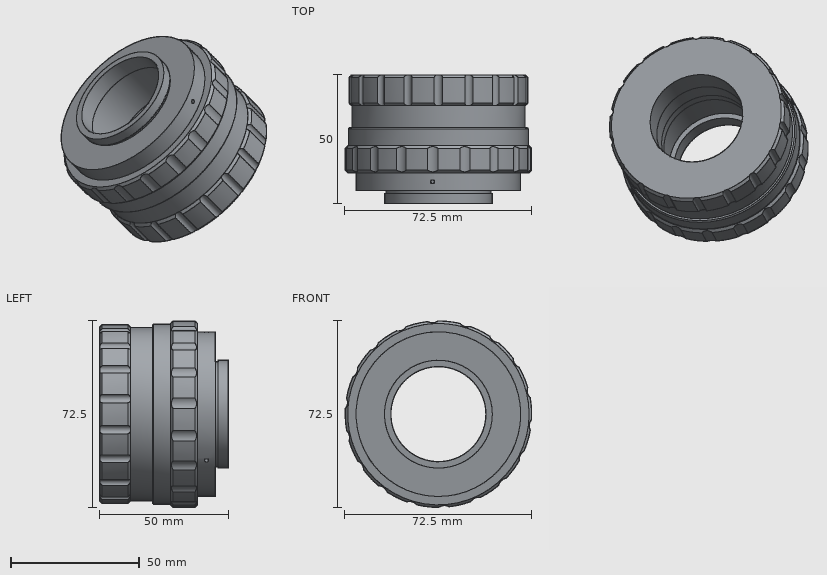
import cadquery as cq
import math


front_y = 0.0
collar_back_y = 4.0
nose_front_y = 5.0
front_grip_front_y = 11.95
front_grip_back_y = 22.5
flange_back_y = 29.5
barrel_back_y = 38.0
rear_y = 50.0
neck_back_y = 6.95
nose_back_y = 25.3

bore_radius = 18.4
collar_radius = 20.95
neck_radius = 20.45
nose_radius = 32.0
front_grip_radius = 36.25
flange_radius = 35.0
barrel_radius = 33.7
rear_grip_radius = 34.8

grip_chamfer = 1.0
flange_chamfer = 0.5

groove_count = 18
front_groove_radius = 3.8
front_groove_depth = 0.65
front_groove_angle = 93.4
rear_groove_radius = 1.75
rear_groove_depth = 1.2
rear_groove_angle = 90.0

nose_hole_count = 3
nose_hole_diameter = 1.5
nose_hole_depth = 3.0
nose_hole_y = 8.5
nose_hole_angle = 94.2


def cylinder(radius, start_y, end_y):
    """Cylinder on the Y axis between two stations."""
    plane = cq.Workplane("XZ", origin=(0, start_y, 0))
    return plane.circle(radius).extrude(start_y - end_y)


def ring(outer_radius, inner_radius, start_y, end_y):
    """Plain ring on the Y axis between two stations."""
    return cylinder(outer_radius, start_y, end_y).cut(cylinder(inner_radius, start_y, end_y))


def angles_around(count, first_angle):
    """Evenly spaced angles, in degrees from +X toward +Z."""
    return [first_angle + 360 / count * i for i in range(count)]


def direction(angle):
    """Unit vector that points outward in the XZ plane."""
    return cq.Vector(math.cos(math.radians(angle)), 0, math.sin(math.radians(angle)))


def make_grip_ring(outer_radius, inner_radius, start_y, end_y, groove_radius, groove_depth, first_angle):
    """Ring with both outer edges chamfered and round finger grooves along its rim."""
    blank = cylinder(outer_radius, start_y, end_y).edges().chamfer(grip_chamfer)
    grip = blank.cut(cylinder(inner_radius, start_y, end_y))
    axis_distance = outer_radius - groove_depth + groove_radius
    for angle in angles_around(groove_count, first_angle):
        axis_point = direction(angle) * axis_distance
        groove = cylinder(groove_radius, start_y, end_y).translate(axis_point)
        grip = grip.cut(groove)
    return grip


def make_front_collar():
    """Short collar whose neck plugs into the bore of the nose."""
    collar = cylinder(collar_radius, front_y, collar_back_y)
    neck = cylinder(neck_radius, collar_back_y, neck_back_y)
    return collar.union(neck).cut(cylinder(bore_radius, front_y, neck_back_y))


def make_nose():
    """Sleeve that carries the collar and the front grip ring, with blind radial holes."""
    nose = ring(nose_radius, neck_radius, nose_front_y, nose_back_y)
    for angle in angles_around(nose_hole_count, nose_hole_angle):
        outward = direction(angle)
        floor_point = outward * (nose_radius - nose_hole_depth) + cq.Vector(0, nose_hole_y, 0)
        drill_length = 2 * nose_hole_depth
        drill = cq.Solid.makeCylinder(nose_hole_diameter / 2, drill_length, floor_point, outward)
        nose = nose.cut(cq.Workplane(drill))
    return nose


def make_flange():
    """Flange ring with a chamfered back edge and a front recess that seats the nose."""
    blank = cylinder(flange_radius, front_grip_back_y, flange_back_y).faces(">Y").chamfer(flange_chamfer)
    recess = cylinder(nose_radius, front_grip_back_y, nose_back_y)
    bore = cylinder(bore_radius, front_grip_back_y, flange_back_y)
    return blank.cut(recess).cut(bore)


front_collar = make_front_collar()
nose = make_nose()
front_grip = make_grip_ring(
    front_grip_radius,
    nose_radius,
    front_grip_front_y,
    front_grip_back_y,
    front_groove_radius,
    front_groove_depth,
    front_groove_angle,
)
flange = make_flange()
barrel = ring(barrel_radius, bore_radius, flange_back_y, barrel_back_y)
rear_grip = make_grip_ring(
    rear_grip_radius,
    bore_radius,
    barrel_back_y,
    rear_y,
    rear_groove_radius,
    rear_groove_depth,
    rear_groove_angle,
)

result = cq.Compound.makeCompound(
    [
        front_collar.val(),
        nose.val(),
        front_grip.val(),
        flange.val(),
        barrel.val(),
        rear_grip.val(),
    ]
)